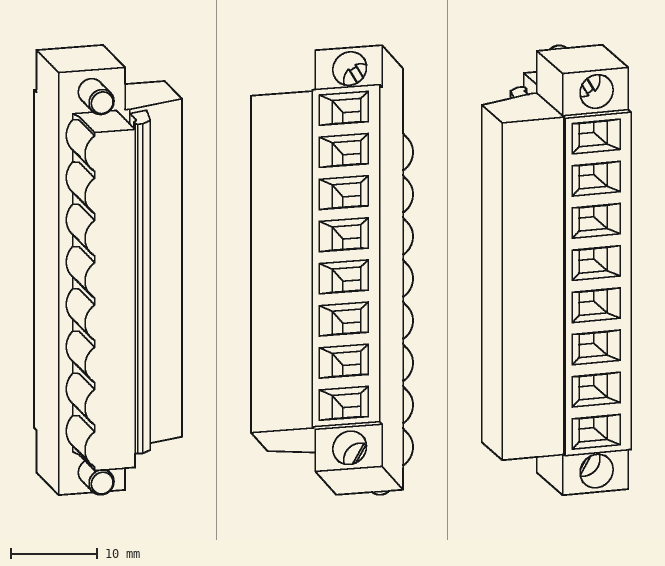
import cadquery as cq


length = 50.8
pole_count = 8
pitch = 5.1
lug_height = (length - pole_count * pitch) / 2
row_bottom = lug_height
row_height = pole_count * pitch
pole_heights = [row_bottom + (i + 0.5) * pitch for i in range(pole_count)]

base_thickness = 8.0
total_thickness = 15.5
entry_strip_thickness = 8.05
lug_setback = 1.05
housing_back = 10.7
rear_setback = 0.5
rear_top_end = 8.15
rear_slope_foot = 8.55

plug_end = 18.85
sleeve_front = 0.9
sleeve_radius = pitch / 2
web_front = 2.1
web_back = 6.9
web_ramp_length = 1.35
web_ramp_rise = 0.4

latch_end_gap = 0.5
latch_root_x = 9.9
latch_root_y = 10.75
latch_bend = (14.05, 10.05)
latch_nose = (15.2, 8.85)
latch_tip_y = 8.05
latch_tip_chamfer = 0.2
latch_hook_start = 13.55
latch_hook_width = 0.7

funnel_center_y = 4.25
funnel_mouth = (5.85, 3.65)
funnel_throat = (3.4, 2.8)
funnel_depth = 1.1
entry_depth = 6.1

screw_y = 3.85
screw_heights = [lug_height / 2, length - lug_height / 2]
bore_diameter = 4.0
bore_depth = 6.1
head_diameter = 3.8
head_height = 1.5
slot_width = 0.9
slot_depth = 0.75
slot_angle = 30.0
pin_diameter = 3.0
pin_tip_diameter = 2.6
pin_chamfer_length = 0.3
pin_end = 15.65


def block(x_range, y_range, z_range):
    """Box between the given limits."""
    sizes = [limits[1] - limits[0] for limits in (x_range, y_range, z_range)]
    corner = (x_range[0], y_range[0], z_range[0])
    return cq.Workplane("XY").box(*sizes, centered=False).translate(corner)


def row_profile(points, end_gap=0.0):
    """XY outline extruded along the pole row, stopping short of both ends by end_gap."""
    plane = cq.Workplane("XY").workplane(offset=row_bottom + end_gap)
    return plane.polyline(points).close().extrude(row_height - 2 * end_gap)


def rod(diameter, x_start, x_end, y, z):
    """Cylinder along X."""
    plane = cq.Workplane("YZ", origin=(x_start, y, z))
    return plane.circle(diameter / 2).extrude(x_end - x_start)


def make_housing():
    lugs_and_base = block((lug_setback, housing_back), (0, base_thickness), (0, length))
    row = row_profile([
        (0, 0),
        (housing_back, 0),
        (housing_back, rear_slope_foot),
        (rear_top_end, total_thickness),
        (rear_setback, total_thickness),
        (rear_setback, entry_strip_thickness),
        (0, entry_strip_thickness),
    ])
    return lugs_and_base.union(row)


def make_plug():
    plug = row_profile([
        (housing_back, web_back),
        (housing_back, web_front - web_ramp_rise),
        (housing_back + web_ramp_length, web_front),
        (plug_end, web_front),
        (plug_end, web_back),
    ])
    for z in pole_heights:
        sleeve = rod(2 * sleeve_radius, housing_back, plug_end, sleeve_front + sleeve_radius, z)
        plug = plug.union(sleeve)
    return plug


def make_latch():
    nose_x, nose_y = latch_nose
    hook_end = nose_x - latch_tip_chamfer
    return row_profile([
        (latch_root_x, rear_slope_foot),
        (latch_root_x, latch_root_y),
        latch_bend,
        (nose_x, nose_y),
        (nose_x, latch_tip_y + latch_tip_chamfer),
        (hook_end, latch_tip_y),
        (hook_end - latch_hook_width, latch_tip_y),
        (latch_hook_start, rear_slope_foot),
    ], latch_end_gap)


def make_wire_entry(z):
    """Tapered funnel leading into a straight rectangular pocket."""
    mouth = cq.Workplane("YZ", origin=(0, funnel_center_y, z)).rect(*funnel_mouth)
    funnel = mouth.workplane(offset=funnel_depth).rect(*funnel_throat).loft(ruled=True)
    throat = cq.Workplane("YZ", origin=(funnel_depth, funnel_center_y, z)).rect(*funnel_throat)
    return funnel.union(throat.extrude(entry_depth - funnel_depth))


def make_screw_head(z, tilt):
    """Slotted head standing on the floor of the screw bore."""
    floor_x = lug_setback + bore_depth
    top_x = floor_x - head_height
    head = rod(head_diameter, top_x, floor_x, screw_y, z)
    slot = cq.Workplane("YZ", origin=(top_x, screw_y, z))
    slot = slot.rect(slot_width, 2 * head_diameter).extrude(slot_depth)
    slot = slot.rotate((0, screw_y, z), (1, screw_y, z), tilt)
    return head.cut(slot)


def make_pin(z):
    """Screw end behind the housing, tapering to its tip."""
    taper_start = pin_end - pin_chamfer_length
    shank = rod(pin_diameter, housing_back, taper_start, screw_y, z)
    taper = cq.Workplane("YZ", origin=(taper_start, screw_y, z)).circle(pin_diameter / 2)
    taper = taper.workplane(offset=pin_chamfer_length).circle(pin_tip_diameter / 2).loft()
    return shank.union(taper)


result = make_housing().union(make_plug()).union(make_latch())

for pole_z in pole_heights:
    result = result.cut(make_wire_entry(pole_z))

for screw_z, slot_tilt in zip(screw_heights, (slot_angle, -slot_angle)):
    result = result.cut(rod(bore_diameter, lug_setback, lug_setback + bore_depth, screw_y, screw_z))
    result = result.union(make_screw_head(screw_z, slot_tilt))
    result = result.union(make_pin(screw_z))